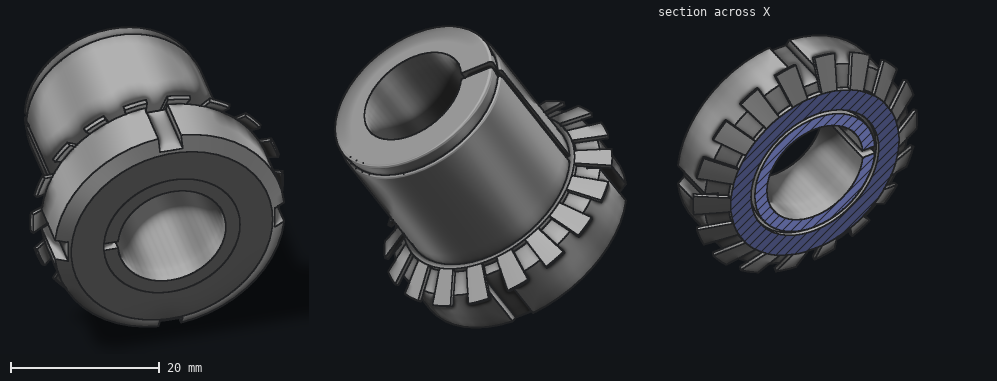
import cadquery as cq
import math


total_length = 31.0
barrel_start = 2.0
washer_start = 20.62
washer_thickness = 0.65
nut_start = washer_start + washer_thickness

bore_radius = 7.5
wide_radius = 12.2
thread_radius = 18.93 / 2
barrel_radius = 12.5
sleeve_rounding = 0.42
barrel_rounding = 0.35
slit_width = 1.13

tooth_count = 18
tooth_angle = 10.4
ring_radius = 13.23
ring_bore_radius = 20.0 / 2
tooth_tip_radius = 17.6
cone_angle = 60.0

nut_radius = 16.0
back_chamfer_length = 1.15
back_face_radius = 14.0
slot_count = 4
slot_width = 3.15
slot_floor_radius = 14.35

taper_slope = (wide_radius - thread_radius) / (washer_start - sleeve_rounding)
barrel_seat_radius = wide_radius - taper_slope * (barrel_start - sleeve_rounding)
nut_bore_chamfer = ring_bore_radius - thread_radius
cone_slope = math.tan(math.radians(cone_angle))
nut_cone_length = (nut_radius - ring_radius) / cone_slope


def revolve_about_x(profile, angle=360.0):
    """Revolve a closed (x, radius) outline about the X axis."""
    return profile.close().revolve(angle, (0, 0, 0), (1, 0, 0))


def rounding_arc(profile, start_x, end_radius, rounding):
    """Add a quarter-round from the flat face at start_x up to end_radius."""
    inset = rounding * (1 - math.sqrt(0.5))
    middle = (start_x + inset, end_radius - inset)
    end = (start_x + rounding, end_radius)
    return profile.threePointArc(middle, end)


def cut_slit(body):
    """Cut the lengthwise slit at the seam of the revolved body, then turn it to the -Y side."""
    slit = cq.Workplane("XY").box(total_length, barrel_radius, slit_width, centered=(False, False, True))
    return body.cut(slit).rotate((0, 0, 0), (1, 0, 0), 180)


def make_sleeve():
    outline = cq.Workplane("XY").moveTo(0, bore_radius).lineTo(0, wide_radius - sleeve_rounding)
    outline = rounding_arc(outline, 0, wide_radius, sleeve_rounding)
    outline = (
        outline.lineTo(washer_start, thread_radius)
        .lineTo(total_length, thread_radius)
        .lineTo(total_length, bore_radius)
    )
    return cut_slit(revolve_about_x(outline))


def make_barrel():
    outline = cq.Workplane("XY").moveTo(barrel_start, barrel_seat_radius)
    outline = outline.lineTo(barrel_start, barrel_radius - barrel_rounding)
    outline = rounding_arc(outline, barrel_start, barrel_radius, barrel_rounding)
    outline = outline.lineTo(washer_start, barrel_radius).lineTo(washer_start, thread_radius)
    return cut_slit(revolve_about_x(outline))


def make_tooth():
    """One bent tooth, centred on the +Y direction, its back lying on the nut's front cone."""
    tip_x = washer_start + (tooth_tip_radius - ring_radius) / cone_slope
    thickness = washer_thickness * math.sin(math.radians(cone_angle))
    back_tip_x = tip_x + thickness * math.sin(math.radians(cone_angle))
    back_tip_radius = tooth_tip_radius - thickness * math.cos(math.radians(cone_angle))
    outline = (
        cq.Workplane("XY")
        .moveTo(washer_start, ring_radius)
        .lineTo(tip_x, tooth_tip_radius)
        .lineTo(back_tip_x, back_tip_radius)
        .lineTo(nut_start, ring_radius)
    )
    tooth = revolve_about_x(outline, tooth_angle)
    return tooth.rotate((0, 0, 0), (1, 0, 0), -tooth_angle / 2)


def make_washer():
    washer = (
        cq.Workplane("YZ", origin=(washer_start, 0, 0))
        .circle(ring_radius)
        .circle(ring_bore_radius)
        .extrude(washer_thickness)
    )
    tooth = make_tooth()
    for index in range(tooth_count):
        washer = washer.union(tooth.rotate((0, 0, 0), (1, 0, 0), index * 360 / tooth_count))
    return washer


def make_nut():
    outline = (
        cq.Workplane("XY")
        .moveTo(nut_start, ring_bore_radius)
        .lineTo(nut_start, ring_radius)
        .lineTo(nut_start + nut_cone_length, nut_radius)
        .lineTo(total_length - back_chamfer_length, nut_radius)
        .lineTo(total_length, back_face_radius)
        .lineTo(total_length, thread_radius)
        .lineTo(nut_start + nut_bore_chamfer, thread_radius)
    )
    nut = revolve_about_x(outline)
    slot = cq.Workplane("XY").box(total_length, nut_radius, slot_width, centered=(False, False, True))
    slot = slot.translate((0, slot_floor_radius, 0))
    for index in range(slot_count):
        nut = nut.cut(slot.rotate((0, 0, 0), (1, 0, 0), index * 360 / slot_count))
    return nut


sleeve = make_sleeve()
barrel = make_barrel()
washer = make_washer()
nut = make_nut()

bodies = [sleeve, barrel, washer, nut]
result = cq.Compound.makeCompound([body.solids().val() for body in bodies])